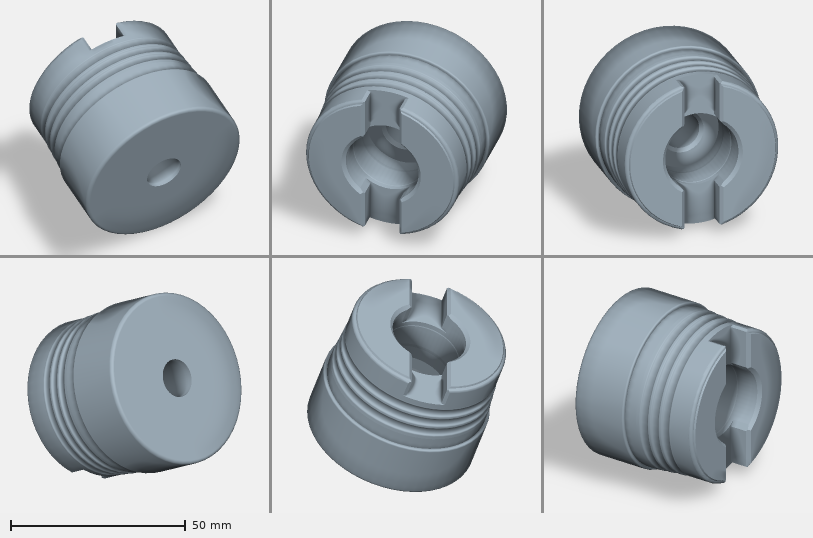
import cadquery as cq
import math

length = 40.0
slot_depth = 6.25
taper_start = 7.93
taper_end = 19.17
collar_start = 23.0

front_radius = 23.1
neck_radius = 24.0
collar_radius = 25.0

rim_step = 0.5
rim_face_radius = 21.85
rim_round = 1.0

collar_front_round = 0.5
collar_back_round = 1.0

groove_count = 3
groove_pitch = 3.5
first_groove_x = 9.65
groove_radius = 1.55
groove_depth = 0.75
crest_round = 0.5

bore_radius = 11.0
bore_depth = 20.0
seat_radius = 10.9
seat_lead_start = 7.7
seat_start = 8.0
seat_end = 15.0
seat_runout_end = 16.0

hole_radius = 5.5

slot_width = 10.5
edge_chamfer = 1.0
wall_chamfer_leg = 0.65
outer_chamfer_width = 1.0
bore_chamfer_width = 1.4

taper_angle = math.atan2(neck_radius - front_radius, taper_end - taper_start)


def taper_point(along, outward):
    """(X, radius) of a point given by its distance along and square to the taper line."""
    x = taper_start + along * math.cos(taper_angle) - outward * math.sin(taper_angle)
    radius = front_radius + along * math.sin(taper_angle) + outward * math.cos(taper_angle)
    return (x, radius)


def add_groove(profile, center):
    """Draw one groove with rounded crests, centred at a distance along the taper line."""
    center_height = groove_radius - groove_depth
    reach = groove_radius + crest_round
    half_width = math.sqrt(reach**2 - (center_height + crest_round) ** 2)
    sweep = math.asin(half_width / reach)
    tangent_along = groove_radius * math.sin(sweep)
    tangent_height = center_height - groove_radius * math.cos(sweep)
    crest_along = half_width - crest_round * math.sin(sweep / 2)
    crest_height = crest_round * math.cos(sweep / 2) - crest_round

    profile = profile.lineTo(*taper_point(center - half_width, 0))
    profile = profile.threePointArc(
        taper_point(center - crest_along, crest_height),
        taper_point(center - tangent_along, tangent_height),
    )
    profile = profile.threePointArc(
        taper_point(center, -groove_depth),
        taper_point(center + tangent_along, tangent_height),
    )
    return profile.threePointArc(
        taper_point(center + crest_along, crest_height),
        taper_point(center + half_width, 0),
    )


def make_body():
    """Revolved outside: stepped rim, grooved taper, neck and collar."""
    round_middle = rim_round * math.sqrt(0.5)
    profile = (
        cq.Workplane("XY")
        .moveTo(0, 0)
        .lineTo(0, rim_face_radius)
        .lineTo(rim_step, front_radius - rim_round)
        .threePointArc(
            (rim_step + rim_round - round_middle, front_radius - rim_round + round_middle),
            (rim_step + rim_round, front_radius),
        )
        .lineTo(taper_start, front_radius)
    )
    for index in range(groove_count):
        groove_x = first_groove_x + index * groove_pitch
        profile = add_groove(profile, (groove_x - taper_start) / math.cos(taper_angle))
    profile = (
        profile.lineTo(taper_end, neck_radius)
        .lineTo(collar_start, neck_radius)
        .lineTo(collar_start, collar_radius)
        .lineTo(length, collar_radius)
        .lineTo(length, 0)
        .close()
    )
    body = profile.revolve(360, (0, 0, 0), (1, 0, 0))
    body = body.edges(cq.selectors.RadiusNthSelector(-1)).edges("<X").fillet(collar_front_round)
    return body.faces(">X").edges().fillet(collar_back_round)


def make_bore():
    """Revolved cutter for the bore, its seat and the chamfered through hole."""
    return (
        cq.Workplane("XY")
        .moveTo(0, 0)
        .lineTo(0, bore_radius + edge_chamfer)
        .lineTo(edge_chamfer, bore_radius)
        .lineTo(seat_lead_start, bore_radius)
        .lineTo(seat_start, seat_radius)
        .lineTo(seat_end, seat_radius)
        .lineTo(seat_runout_end, bore_radius)
        .lineTo(bore_depth, bore_radius)
        .lineTo(bore_depth, hole_radius + edge_chamfer)
        .lineTo(bore_depth + edge_chamfer, hole_radius)
        .lineTo(length, hole_radius)
        .lineTo(length, 0)
        .close()
        .revolve(360, (0, 0, 0), (1, 0, 0))
    )


def make_slot():
    """Cutter for the slot along Z, widened by a chamfer at the front face."""
    half_width = slot_width / 2
    return (
        cq.Workplane("XY")
        .polyline(
            [
                (0, -half_width - edge_chamfer),
                (edge_chamfer, -half_width),
                (slot_depth, -half_width),
                (slot_depth, half_width),
                (edge_chamfer, half_width),
                (0, half_width + edge_chamfer),
            ]
        )
        .close()
        .extrude(collar_radius, both=True)
    )


def make_wall_chamfer(radius, width, air_side):
    """Cutter for the slot wall's edge at a cylinder; air_side is +1 outside it, -1 inside it."""
    wall_y = slot_width / 2
    chamfer_y = wall_y + width
    corner_z = math.sqrt(radius**2 - wall_y**2)
    wall_z = corner_z - air_side * wall_chamfer_leg
    chamfer_z = math.sqrt(radius**2 - chamfer_y**2)
    air_z = corner_z + air_side * width
    return (
        cq.Workplane("YZ")
        .polyline([(wall_y, wall_z), (chamfer_y, chamfer_z), (chamfer_y, air_z), (wall_y, air_z)])
        .close()
        .extrude(slot_depth)
    )


result = make_body().cut(make_bore()).cut(make_slot())
wall_edges = (
    (front_radius, outer_chamfer_width, 1),
    (bore_radius, bore_chamfer_width, -1),
)
for radius, width, air_side in wall_edges:
    upper_edge = make_wall_chamfer(radius, width, air_side)
    upper_pair = upper_edge.union(upper_edge.mirror("XZ"))
    result = result.cut(upper_pair).cut(upper_pair.mirror("XY"))